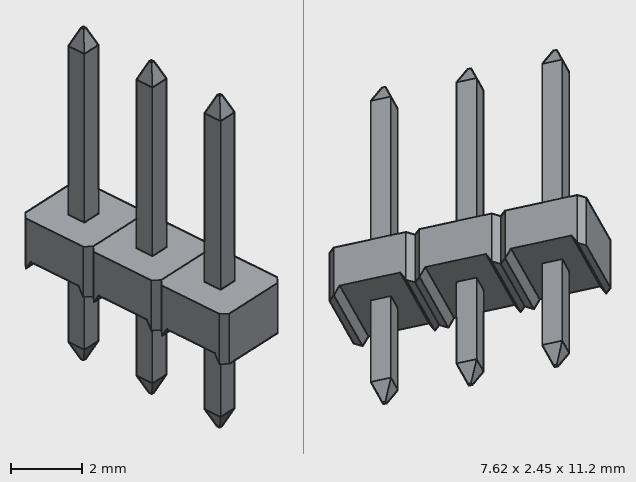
import cadquery as cq
import math


position_count = 3
pitch = 2.54

housing_depth = 2.45
housing_height = 1.7
corner_chamfer = 0.2

channel_depth = 0.3
channel_wall_angle = 60
channel_mouth = pitch - 2 * corner_chamfer
channel_floor = channel_mouth - 2 * channel_depth / math.tan(math.radians(channel_wall_angle))

pin_width = 0.6
tip_width = 0.1
tip_length = 0.6
upper_reach = 6.3
lower_reach = 3.2
lower_pin_length = lower_reach + channel_depth


def make_housing(x):
    """Block with chamfered upright edges and a channel below, feet on Z = 0."""
    block = (
        cq.Workplane("XY")
        .box(pitch, housing_depth, housing_height, centered=(True, True, False))
        .edges("|Z")
        .chamfer(corner_chamfer)
    )
    channel = (
        cq.Workplane("XZ")
        .moveTo(-channel_mouth / 2, 0)
        .lineTo(channel_mouth / 2, 0)
        .lineTo(channel_floor / 2, channel_depth)
        .lineTo(-channel_floor / 2, channel_depth)
        .close()
        .extrude(housing_depth / 2, both=True)
    )
    return block.cut(channel).translate((x, 0, 0))


def make_pin(length):
    """Square pin rising from Z = 0, tapered to a small flat over its last stretch."""
    shank_length = length - tip_length
    shank = cq.Workplane("XY").rect(pin_width, pin_width).extrude(shank_length)
    tip = (
        cq.Workplane("XY", origin=(0, 0, shank_length))
        .rect(pin_width, pin_width)
        .workplane(offset=tip_length)
        .rect(tip_width, tip_width)
        .loft(ruled=True)
    )
    return shank.union(tip)


def make_upper_pin(x):
    """Long pin standing on the housing top."""
    return make_pin(upper_reach).translate((x, 0, housing_height))


def make_lower_pin(x):
    """Short pin pointing down from the channel floor."""
    return make_pin(lower_pin_length).mirror("XY").translate((x, 0, channel_depth))


bodies = []
for index in range(position_count):
    position_x = (index - (position_count - 1) / 2) * pitch
    bodies.append(make_housing(position_x).val())
    bodies.append(make_upper_pin(position_x).val())
    bodies.append(make_lower_pin(position_x).val())

result = cq.Compound.makeCompound(bodies)